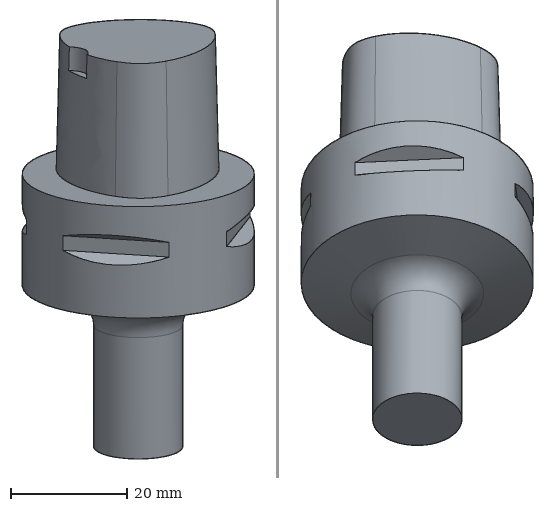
import cadquery as cq
import math

total_height = 73.0
taper_height = 24.0
flange_height = 20.0
flange_top = total_height - taper_height
flange_bottom = flange_top - flange_height

flange_radius = 40.0 / 2
shank_radius = 15.4 / 2
cone_angle = math.radians(15)
neck_fillet_radius = 5.05

base_width = 28.0
taper_ratio = 1 / 20
top_width = base_width - taper_height * taper_ratio
lobe_eccentricity = 0.95
face_count = 6
points_per_face = 9

slot_count = 4
slot_depth = 2.3
slot_floor_height = 2.6
slot_side_angle = math.radians(30)
slot_z = 41.0

notch_radius = 3.5
notch_depth = 4.2
notch_floor_y = -10.9


def turned_body():
    """Flange and shank joined by a cone with a tangent fillet."""
    turn = math.pi / 2 - cone_angle
    fillet_center_x = shank_radius + neck_fillet_radius
    cone_end_x = fillet_center_x - neck_fillet_radius * math.cos(turn)
    cone_end_z = flange_bottom - (flange_radius - cone_end_x) * math.tan(cone_angle)
    fillet_center_z = cone_end_z - neck_fillet_radius * math.sin(turn)
    fillet_middle = (
        fillet_center_x - neck_fillet_radius * math.cos(turn / 2),
        fillet_center_z + neck_fillet_radius * math.sin(turn / 2),
    )
    return (
        cq.Workplane("XZ")
        .lineTo(shank_radius, 0)
        .lineTo(shank_radius, fillet_center_z)
        .threePointArc(fillet_middle, (cone_end_x, cone_end_z))
        .lineTo(flange_radius, flange_bottom)
        .lineTo(flange_radius, flange_top)
        .lineTo(0, flange_top)
        .close()
        .revolve(360, (0, 0, 0), (0, 1, 0))
    )


def polygon_point(width, angle, z):
    """Point of the constant-width curve whose outward normal has this angle."""
    lobe_phase = 3 * (angle - math.pi / 2)
    support = width / 2 + lobe_eccentricity * math.cos(lobe_phase)
    slope = -3 * lobe_eccentricity * math.sin(lobe_phase)
    x = support * math.cos(angle) - slope * math.sin(angle)
    y = support * math.sin(angle) + slope * math.cos(angle)
    return cq.Vector(x, y, z)


def tangent_direction(angle):
    """Direction of travel along the curve where its outward normal has this angle."""
    return cq.Vector(-math.sin(angle), math.cos(angle), 0)


def polygon_wire(width, z):
    """Closed three-lobed outline made of tangent spline arcs."""
    face_angle = 2 * math.pi / face_count
    edges = []
    for face in range(face_count):
        start = face * face_angle
        end = start + face_angle
        step = face_angle / (points_per_face - 1)
        points = [polygon_point(width, start + i * step, z) for i in range(points_per_face)]
        tangents = [tangent_direction(start), tangent_direction(end)]
        edges.append(cq.Edge.makeSpline(points, tangents=tangents))
    return cq.Wire.assembleEdges(edges)


def polygon_taper():
    base = polygon_wire(base_width, flange_top)
    top = polygon_wire(top_width, total_height)
    return cq.Workplane(cq.Solid.makeLoft([base, top], True))


def gripper_slot(direction):
    """Straight slot with a flat floor and flared sides, facing the given angle in degrees."""
    floor_x = flange_radius - slot_depth
    mouth_x = flange_radius + slot_depth
    floor_half = slot_floor_height / 2
    mouth_half = floor_half + (mouth_x - floor_x) * math.tan(slot_side_angle)
    return (
        cq.Workplane("XZ")
        .polyline([
            (floor_x, slot_z - floor_half),
            (mouth_x, slot_z - mouth_half),
            (mouth_x, slot_z + mouth_half),
            (floor_x, slot_z + floor_half),
        ])
        .close()
        .extrude(flange_radius, both=True)
        .rotate((0, 0, 0), (0, 0, 1), direction)
    )


def orientation_notch():
    """Round-backed notch on the -Y side, open at the top."""
    return (
        cq.Workplane("XY", origin=(0, notch_floor_y - notch_radius, total_height - notch_depth))
        .circle(notch_radius)
        .extrude(notch_depth)
    )


result = turned_body().union(polygon_taper())
slot_spacing = 360 / slot_count
for slot in range(slot_count):
    result = result.cut(gripper_slot((slot + 0.5) * slot_spacing))
result = result.cut(orientation_notch())